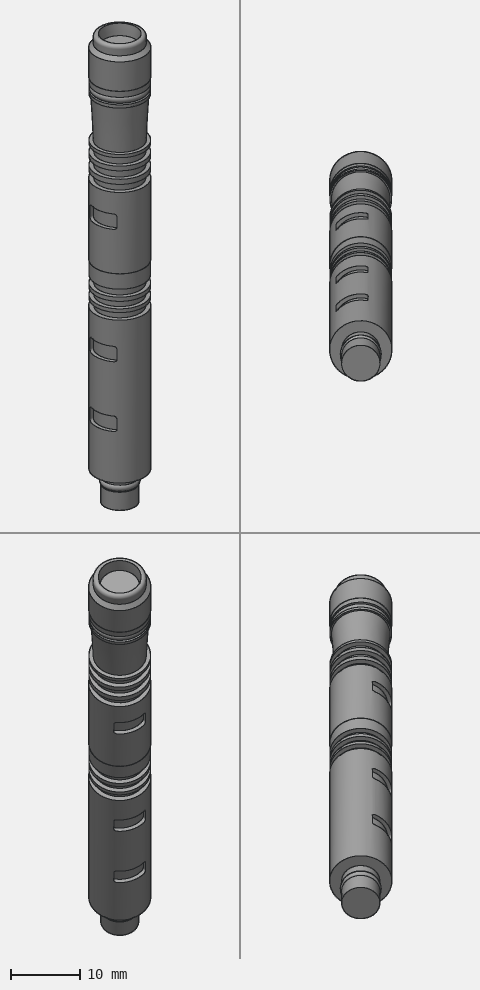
import cadquery as cq

total_height = 76.75
body_radius = 9.0 / 2
rib_radius = 8.9 / 2
neck_radius = 7.5 / 2
tail_radius = 5.5 / 2

lower_body_bottom = 5.45
lower_body_top = 32.15
upper_body_bottom = 37.2
upper_body_step = 39.75
upper_body_top = 53.1

lower_ribs = [(33.4, 34.0), (35.2, 35.9)]
upper_ribs = [(54.4, 55.25), (56.65, 57.4), (58.8, 59.3)]

flare_bottom = upper_ribs[-1][1]
flare_top = 66.9
flare_bottom_radius = 7.7 / 2
flare_mid_radius = 4.0
flare_top_radius = 4.2
flange_top = 67.5
head_bottom = 68.7
head_step = 69.7
lip_radius = 7.7 / 2
head_shoulder = 74.5
shoulder_chamfer = body_radius - lip_radius

lip_rounding = 0.5
recess_mouth_radius = 3.1
recess_floor_radius = 2.85
recess_depth = 1.9

head_groove_radius = 3.8
tail_groove_radius = 2.4
tail_ring_bottom = 3.0
tail_ring_top = 4.15

pocket_width = 4.9
pocket_height = 2.5
pocket_depth = 0.6
pocket_corner = 0.4
pocket_centers = [15.1, 26.55, 48.3]


def cylinder(radius, bottom, top):
    """Solid cylinder on the Z axis between two levels."""
    return cq.Workplane("XY").workplane(offset=bottom).circle(radius).extrude(top - bottom)


def seal_ring(groove_radius, bottom, top):
    """Groove core with a half-round ring that fills the groove width."""
    middle = (bottom + top) / 2
    bulge = groove_radius + (top - bottom) / 2
    return (
        cq.Workplane("XZ")
        .moveTo(0, bottom)
        .lineTo(groove_radius, bottom)
        .threePointArc((bulge, middle), (groove_radius, top))
        .lineTo(0, top)
        .close()
        .revolve(360, (0, 0, 0), (0, 1, 0))
    )


def flared_neck():
    """Neck that widens upwards along a shallow arc."""
    return (
        cq.Workplane("XZ")
        .moveTo(0, flare_bottom)
        .lineTo(flare_bottom_radius, flare_bottom)
        .threePointArc(
            (flare_mid_radius, (flare_bottom + flare_top) / 2),
            (flare_top_radius, flare_top),
        )
        .lineTo(0, flare_top)
        .close()
        .revolve(360, (0, 0, 0), (0, 1, 0))
    )


def head():
    """Top sleeve with a conical shoulder, a rounded lip and a tapered recess."""
    return (
        cq.Workplane("XZ")
        .moveTo(0, head_step)
        .lineTo(body_radius, head_step)
        .lineTo(body_radius, head_shoulder)
        .lineTo(lip_radius, head_shoulder + shoulder_chamfer)
        .lineTo(lip_radius, total_height - lip_rounding)
        .radiusArc((lip_radius - lip_rounding, total_height), -lip_rounding)
        .lineTo(recess_mouth_radius, total_height)
        .lineTo(recess_floor_radius, total_height - recess_depth)
        .lineTo(0, total_height - recess_depth)
        .close()
        .revolve(360, (0, 0, 0), (0, 1, 0))
    )


def grip_pocket(center_z):
    """Ring-shaped cutter limited to a rounded window on the front and back."""
    window = (
        cq.Workplane("XZ")
        .center(0, center_z)
        .rect(pocket_width, pocket_height)
        .extrude(2 * body_radius, both=True)
        .edges("|Y")
        .fillet(pocket_corner)
    )
    core_radius = body_radius - pocket_depth
    return window.cut(cylinder(core_radius, center_z - pocket_height, center_z + pocket_height))


segments = [
    cylinder(tail_radius, 0, tail_ring_bottom),
    seal_ring(tail_groove_radius, tail_ring_bottom, tail_ring_top),
    cylinder(tail_radius, tail_ring_top, lower_body_bottom),
    cylinder(body_radius, lower_body_bottom, lower_body_top),
    cylinder(neck_radius, lower_body_top, upper_body_bottom),
    cylinder(rib_radius, upper_body_bottom, upper_body_step),
    cylinder(body_radius, upper_body_step, upper_body_top),
    cylinder(neck_radius, upper_body_top, flare_bottom),
    flared_neck(),
    cylinder(rib_radius, flare_top, flange_top),
    seal_ring(head_groove_radius, flange_top, head_bottom),
    cylinder(rib_radius, head_bottom, head_step),
    head(),
]
for rib_bottom, rib_top in lower_ribs + upper_ribs:
    segments.append(cylinder(rib_radius, rib_bottom, rib_top))

result = segments[0]
for segment in segments[1:]:
    result = result.union(segment)

for pocket_z in pocket_centers:
    result = result.cut(grip_pocket(pocket_z))